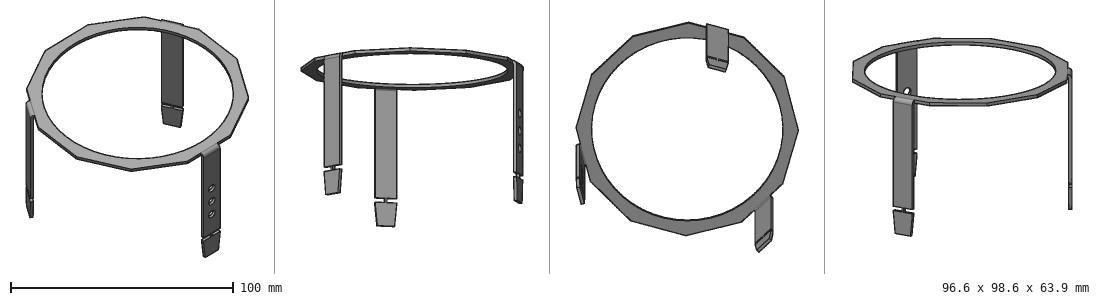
import cadquery as cq
import math

SIDES = 12
RING_CORNER_RADIUS = 50.0
RING_FLAT_RADIUS = RING_CORNER_RADIUS * math.cos(math.pi / SIDES)
RING_BORE_DIAMETER = 86.0
SHEET_THICKNESS = 1.5

LEG_ANGLES = (90, 210, 330)
PERFORATED_LEG_ANGLE = 330
LEG_WIDTH = 10.0
BEND_INNER_RADIUS = 0.5
BEND_OUTER_RADIUS = BEND_INNER_RADIUS + SHEET_THICKNESS
LEG_INNER_FACE = RING_FLAT_RADIUS + BEND_INNER_RADIUS
LEG_OUTER_FACE = RING_FLAT_RADIUS + BEND_OUTER_RADIUS
ROOT_OVERLAP = 1.0

OVERALL_HEIGHT = 63.9
FOOT_HEIGHT = 10.7
FOOT_SHOULDER = 0.7
FOOT_TIP_WIDTH = 8.0
NECK_WIDTH = 1.0
NECK_HEIGHT = 2.0
FOOT_TOP = FOOT_HEIGHT - OVERALL_HEIGHT
LEG_END = FOOT_TOP + NECK_HEIGHT

HOLE_DIAMETER = 3.86
HOLE_PITCH = 8.0
HOLE_COUNT = 3
TOP_HOLE_Z = -23.5


def make_ring():
    plate = cq.Workplane("XY").polygon(SIDES, 2 * RING_CORNER_RADIUS).extrude(-SHEET_THICKNESS)
    plate = plate.rotate((0, 0, 0), (0, 0, 1), 180 / SIDES)
    bore = cq.Workplane("XY").circle(RING_BORE_DIAMETER / 2).extrude(-SHEET_THICKNESS)
    return plate.cut(bore)


def make_bent_strip():
    """Sheet of constant thickness that leaves the ring along +X and bends down to the tip of the foot."""
    bend_center_z = -BEND_OUTER_RADIUS
    diagonal = math.sqrt(0.5)
    root = RING_FLAT_RADIUS - ROOT_OVERLAP
    return (
        cq.Workplane("XZ")
        .moveTo(root, 0)
        .lineTo(RING_FLAT_RADIUS, 0)
        .threePointArc(
            (RING_FLAT_RADIUS + BEND_OUTER_RADIUS * diagonal, bend_center_z + BEND_OUTER_RADIUS * diagonal),
            (LEG_OUTER_FACE, bend_center_z),
        )
        .lineTo(LEG_OUTER_FACE, -OVERALL_HEIGHT)
        .lineTo(LEG_INNER_FACE, -OVERALL_HEIGHT)
        .lineTo(LEG_INNER_FACE, bend_center_z)
        .threePointArc(
            (RING_FLAT_RADIUS + BEND_INNER_RADIUS * diagonal, bend_center_z + BEND_INNER_RADIUS * diagonal),
            (RING_FLAT_RADIUS, -SHEET_THICKNESS),
        )
        .lineTo(root, -SHEET_THICKNESS)
        .close()
        .extrude(LEG_WIDTH / 2, both=True)
    )


def make_leg_outline():
    """Front shape of leg, neck and foot, as a block deep enough to trim the bent strip."""
    right_side = [
        (LEG_WIDTH / 2, 0),
        (LEG_WIDTH / 2, LEG_END),
        (NECK_WIDTH / 2, LEG_END),
        (NECK_WIDTH / 2, FOOT_TOP),
        (LEG_WIDTH / 2, FOOT_TOP),
        (LEG_WIDTH / 2, FOOT_TOP - FOOT_SHOULDER),
        (FOOT_TIP_WIDTH / 2, -OVERALL_HEIGHT),
    ]
    left_side = [(-y, z) for y, z in reversed(right_side)]
    return cq.Workplane("YZ").polyline(right_side + left_side).close().extrude(LEG_OUTER_FACE)


def make_leg_holes():
    centers = [(0, TOP_HOLE_Z - i * HOLE_PITCH) for i in range(HOLE_COUNT)]
    return cq.Workplane("YZ").pushPoints(centers).circle(HOLE_DIAMETER / 2).extrude(LEG_OUTER_FACE)


def make_leg(angle):
    leg = make_bent_strip().intersect(make_leg_outline())
    if angle == PERFORATED_LEG_ANGLE:
        leg = leg.cut(make_leg_holes())
    return leg.rotate((0, 0, 0), (0, 0, 1), angle)


stand = make_ring()
for leg_angle in LEG_ANGLES:
    stand = stand.union(make_leg(leg_angle))

result = cq.Compound.makeCompound([stand.val()])